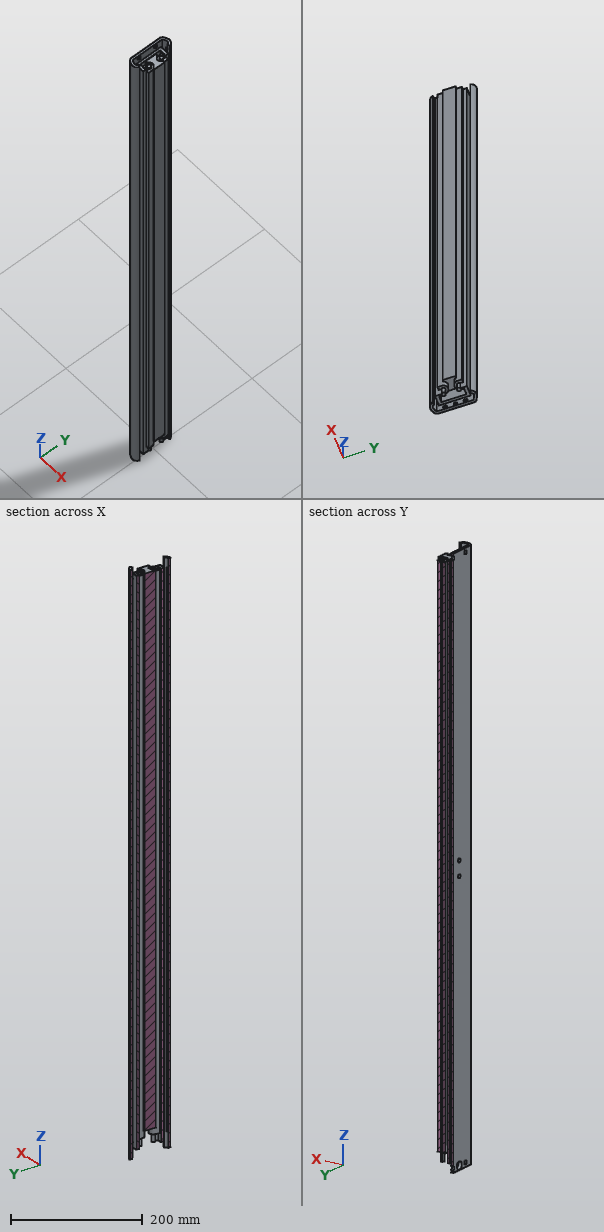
import cadquery as cq
import math


slide_length = 1000.0
slide_width = 74.93
slide_depth = 32.0

middle_rail_span = (13.5, 986.5)
cage_span = (28.5, 983.5)
inner_rail_span = (41.0, 986.5)

outer_wall = 4.5
back_corner_radius = 6.5
lip_radius = 9.4
lip_center_x = 12.2
lip_center_y = slide_width / 2 - lip_radius
flank_angle = 24.6
lip_end_angle = 77.0
race_radius = lip_radius - outer_wall

fixing_hole_diameter = 6.4
fixing_hole_y = 16.5
end_hole_inset = 7.5
middle_hole_heights = (slide_length / 2, slide_length / 2 - 25.5)
countersink_diameter = 13.2
countersink_bore_diameter = 5.5

middle_back_x = 6.3
middle_front_x = 23.5
middle_half_width = 25.6
middle_web = 4.2
middle_flange = 5.5
bead_radius = 3.2
bead_neck_width = 3.0

bearing_x = 22.1
bearing_y = 12.4
inner_cage_radius = 7.3
inner_cage_opening = 4.0

inner_back_x = 11.5
inner_half_width = 10.6

outer_cage_thickness = 1.4
outer_cage_end_angle = 32.0


def polar(center, radius, angle):
    """Point on a circle; the angle runs from +Y towards +X, in degrees."""
    turn = math.radians(angle)
    return (center[0] + radius * math.sin(turn), center[1] + radius * math.cos(turn))


def mirrored(point):
    return (point[0], -point[1])


def block(x_range, y_range, z_range):
    """Box given by its limits along each axis."""
    sizes = [high - low for low, high in (x_range, y_range, z_range)]
    corner = (x_range[0], y_range[0], z_range[0])
    return cq.Workplane("XY").box(*sizes, centered=False).translate(corner)


def rod(x, y, radius, z_range):
    """Round bar along Z."""
    bar = cq.Workplane("XY").workplane(offset=z_range[0]).center(x, y).circle(radius)
    return bar.extrude(z_range[1] - z_range[0])


def outer_rail_section():
    """C section with rounded back corners, tilted flanks and curled lips."""
    lip = (lip_center_x, lip_center_y)
    outside_flank_front = polar(lip, lip_radius, -flank_angle)
    inside_flank_front = polar(lip, race_radius, -flank_angle)
    flank_slope = math.tan(math.radians(flank_angle))

    corner_offset_x, corner_offset_y = polar((0, 0), back_corner_radius, -flank_angle)
    flank_back_x = back_corner_radius + corner_offset_x
    flank_back_y = outside_flank_front[1] - flank_slope * (outside_flank_front[0] - flank_back_x)
    corner = (back_corner_radius, flank_back_y - corner_offset_y)
    flank_back = (flank_back_x, flank_back_y)
    corner_middle = polar(corner, back_corner_radius, -(90 + flank_angle) / 2)
    back_edge = (0, corner[1])

    inside_corner = (
        outer_wall,
        inside_flank_front[1] - flank_slope * (inside_flank_front[0] - outer_wall),
    )
    lip_middle_angle = (lip_end_angle - flank_angle) / 2
    lip_middle = polar(lip, lip_radius, lip_middle_angle)
    lip_tip = polar(lip, lip_radius, lip_end_angle)
    race_middle = polar(lip, race_radius, lip_middle_angle)
    race_tip = polar(lip, race_radius, lip_end_angle)

    return (
        cq.Workplane("XY")
        .moveTo(*mirrored(back_edge))
        .lineTo(*back_edge)
        .threePointArc(corner_middle, flank_back)
        .lineTo(*outside_flank_front)
        .threePointArc(lip_middle, lip_tip)
        .lineTo(*race_tip)
        .threePointArc(race_middle, inside_flank_front)
        .lineTo(*inside_corner)
        .lineTo(*mirrored(inside_corner))
        .lineTo(*mirrored(inside_flank_front))
        .threePointArc(mirrored(race_middle), mirrored(race_tip))
        .lineTo(*mirrored(lip_tip))
        .threePointArc(mirrored(lip_middle), mirrored(outside_flank_front))
        .lineTo(*mirrored(flank_back))
        .threePointArc(mirrored(corner_middle), mirrored(back_edge))
        .close()
    )


def make_outer_rail():
    rail = outer_rail_section().extrude(slide_length)

    end_holes = [
        (side * fixing_hole_y, z)
        for side in (-1, 1)
        for z in (end_hole_inset, slide_length - end_hole_inset)
    ]
    middle_holes = [(0, z) for z in middle_hole_heights]
    holes = (
        cq.Workplane("YZ")
        .pushPoints(end_holes + middle_holes)
        .circle(fixing_hole_diameter / 2)
        .extrude(outer_wall)
    )

    countersink_depth = (countersink_diameter - countersink_bore_diameter) / 2
    countersink = (
        cq.Workplane("XY")
        .lineTo(0, countersink_diameter / 2)
        .lineTo(countersink_depth, countersink_bore_diameter / 2)
        .lineTo(outer_wall, countersink_bore_diameter / 2)
        .lineTo(outer_wall, 0)
        .close()
        .revolve(360, (0, 0, 0), (1, 0, 0))
        .translate((0, 0, end_hole_inset))
    )
    return rail.cut(holes).cut(countersink)


def make_middle_rail():
    """Channel whose flanges each carry a round bead that points inwards."""
    flange_inside_y = middle_half_width - middle_flange
    rail = block(
        (middle_back_x, middle_front_x),
        (-middle_half_width, middle_half_width),
        middle_rail_span,
    )
    channel = block(
        (middle_back_x + middle_web, middle_front_x),
        (-flange_inside_y, flange_inside_y),
        middle_rail_span,
    )
    rail = rail.cut(channel)
    neck_x_range = (bearing_x - bead_neck_width / 2, middle_front_x)
    for side in (-1, 1):
        neck_y_range = sorted((side * bearing_y, side * middle_half_width))
        neck = block(neck_x_range, neck_y_range, middle_rail_span)
        bead = rod(bearing_x, side * bearing_y, bead_radius, middle_rail_span)
        rail = rail.union(neck).union(bead)
    return rail


def make_inner_rail():
    """Solid bar with a round groove along each side."""
    rail = block((inner_back_x, slide_depth), (-inner_half_width, inner_half_width), inner_rail_span)
    for side in (-1, 1):
        rail = rail.cut(rod(bearing_x, side * bearing_y, inner_cage_radius, inner_rail_span))
    return rail


def make_inner_cage(side):
    """D section around a bead: round towards the inner rail, flat towards the middle rail flange."""
    center_y = side * bearing_y
    outer_half = sorted((center_y, side * (bearing_y + inner_cage_radius)))
    round_half = rod(bearing_x, center_y, inner_cage_radius, cage_span)
    flat_half = block(
        (bearing_x - inner_cage_radius, bearing_x + inner_cage_radius),
        outer_half,
        cage_span,
    )
    bore = rod(bearing_x, center_y, bead_radius, cage_span)
    opening = block(
        (bearing_x - inner_cage_opening / 2, bearing_x + inner_cage_opening / 2),
        outer_half,
        cage_span,
    )
    return round_half.union(flat_half).cut(bore).cut(opening)


def make_outer_cage(side):
    """Curved strip that lies in the race of an outer rail lip."""
    lip = (lip_center_x, lip_center_y)
    strip_radius = race_radius - outer_cage_thickness
    strip = (
        cq.Workplane("XY")
        .workplane(offset=cage_span[0])
        .moveTo(*polar(lip, race_radius, -flank_angle))
        .threePointArc(polar(lip, race_radius, 0), polar(lip, race_radius, outer_cage_end_angle))
        .lineTo(*polar(lip, strip_radius, outer_cage_end_angle))
        .threePointArc(polar(lip, strip_radius, 0), polar(lip, strip_radius, -flank_angle))
        .close()
        .extrude(cage_span[1] - cage_span[0])
    )
    return strip if side > 0 else strip.mirror("XZ")


outer_rail = make_outer_rail()
middle_rail = make_middle_rail()
inner_rail = make_inner_rail()
outer_cages = [make_outer_cage(side) for side in (-1, 1)]
inner_cages = [make_inner_cage(side) for side in (-1, 1)]

result = cq.Compound.makeCompound(
    [
        outer_rail.val(),
        middle_rail.val(),
        inner_rail.val(),
        *[cage.val() for cage in outer_cages],
        *[cage.val() for cage in inner_cages],
    ]
)